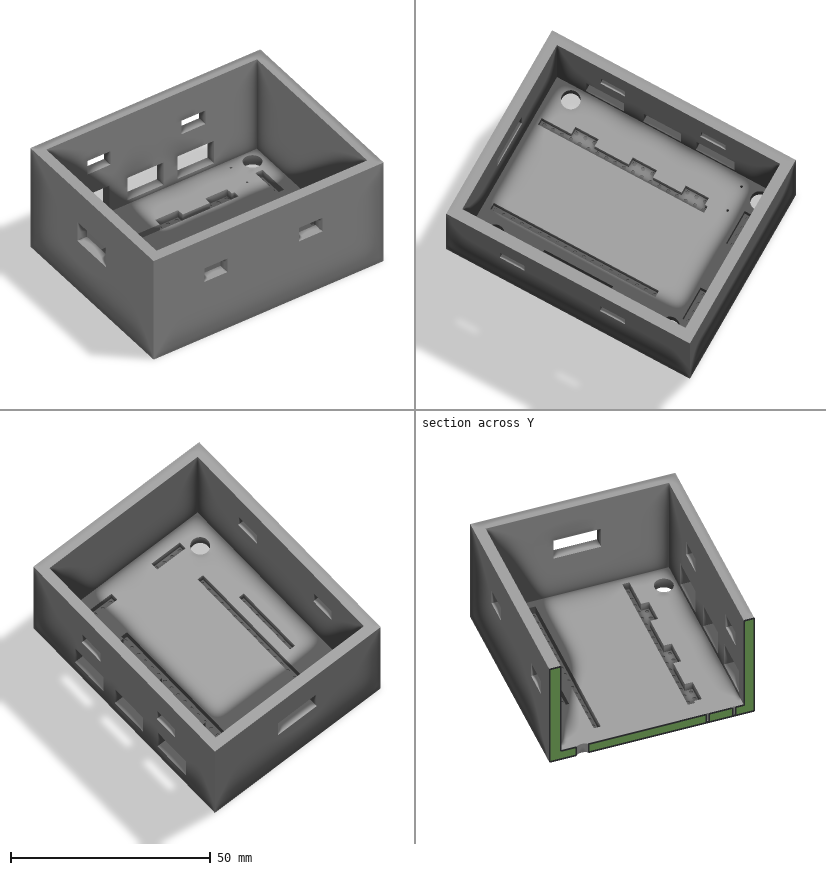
import cadquery as cq

length_x = 54.82
length_y = 69.9
height = 31.7
left_wall = 2.8
right_wall = 3.05
end_wall = 2.95
floor_thickness = 2.95

pin_pitch = 2.54
slot_depth = 2.3
pin_hole_depth = 2.6
header_pin_diameter = 1.02
side_pin_diameter = 1.04
lead_diameter = 0.66

mount_diameter = 5.0
mount_centers = [(6.4, 63.14), (46.0, 59.25), (6.32, 8.85), (46.22, 9.2)]

lead_y = 57.3
lead_x_positions = [5.38, 12.53]

back_slot_y = (61.1, 63.3)
back_pin_y = 62.43
back_pin_count = 4
back_headers = [
    ((10.6, 20.2), 11.53),
    ((33.4, 42.8), 34.35),
]

long_pin_count = 19
long_first_pin_y = 5.95
long_headers = [
    ((14.05, 15.95), (4.8, 52.4), 14.8),
    ((39.25, 41.1), (5.05, 52.4), 40.15),
]

right_slot_x = (43.8, 45.4)
right_slot_y = (22.05, 41.75)
right_pin_x = 44.52
right_first_pin_y = 23.0
right_pin_count = 8

left_slot_outer_x = 11.95
left_long_slot_x = long_headers[0][0]
left_slot_x = (left_slot_outer_x, left_long_slot_x[0])
left_pin_x = 12.75
left_pin_count = 3
left_headers = [
    ((13.3, 19.95), 14.12),
    ((29.75, 36.7), 30.65),
    ((44.95, 51.6), 45.9),
]

through_window_z = (18.0, 22.35)
through_window_y_ranges = [(15.4, 22.4), (44.1, 51.3)]
connector_window_z = (4.2, 11.4)
connector_window_y_ranges = [(11.2, 22.1), (27.65, 38.5), (42.8, 53.9)]
front_window_x = (20.9, 33.65)
front_window_z = (15.7, 21.8)


def block(x_range, y_range, z_range):
    """Box spanning the given coordinate ranges."""
    size = [end - start for start, end in (x_range, y_range, z_range)]
    corner = (x_range[0], y_range[0], z_range[0])
    return cq.Workplane("XY").box(*size, centered=False).translate(corner)


def floor_slot(x_range, y_range):
    """Header recess sunk from the floor's top face."""
    return block(x_range, y_range, (floor_thickness - slot_depth, floor_thickness))


def floor_holes(centers, diameter, depth):
    """Vertical round holes sunk from the floor's top face."""
    top = cq.Workplane("XY", origin=(0, 0, floor_thickness))
    return top.pushPoints(centers).circle(diameter / 2).extrude(-depth)


def pins_along_x(first_x, y, count):
    return [(first_x + i * pin_pitch, y) for i in range(count)]


def pins_along_y(x, first_y, count):
    return [(x, first_y + i * pin_pitch) for i in range(count)]


def tray():
    outer = block((0, length_x), (0, length_y), (0, height))
    inner_x = (left_wall, length_x - right_wall)
    inner_y = (end_wall, length_y - end_wall)
    cavity = block(inner_x, inner_y, (floor_thickness, height))
    return outer.cut(cavity)


def cut_wall_windows(body):
    for y_range in through_window_y_ranges:
        body = body.cut(block((0, length_x), y_range, through_window_z))
    for y_range in connector_window_y_ranges:
        body = body.cut(block((0, left_wall), y_range, connector_window_z))
    return body.cut(block(front_window_x, (0, end_wall), front_window_z))


def cut_header_slots(body):
    for x_range, _ in back_headers:
        body = body.cut(floor_slot(x_range, back_slot_y))
    for x_range, y_range, _ in long_headers:
        body = body.cut(floor_slot(x_range, y_range))
    for y_range, _ in left_headers:
        body = body.cut(floor_slot(left_slot_x, y_range))
    return body.cut(floor_slot(right_slot_x, right_slot_y))


def cut_pin_holes(body):
    header_pins = []
    for _, first_x in back_headers:
        header_pins += pins_along_x(first_x, back_pin_y, back_pin_count)
    for _, _, pin_x in long_headers:
        header_pins += pins_along_y(pin_x, long_first_pin_y, long_pin_count)
    for _, first_y in left_headers:
        header_pins += pins_along_y(left_pin_x, first_y, left_pin_count)
    right_pins = pins_along_y(right_pin_x, right_first_pin_y, right_pin_count)
    body = body.cut(floor_holes(header_pins, header_pin_diameter, pin_hole_depth))
    return body.cut(floor_holes(right_pins, side_pin_diameter, pin_hole_depth))


def cut_floor_holes(body):
    leads = [(x, lead_y) for x in lead_x_positions]
    body = body.cut(floor_holes(leads, lead_diameter, pin_hole_depth))
    return body.cut(floor_holes(mount_centers, mount_diameter, floor_thickness))


result = tray()
result = cut_wall_windows(result)
result = cut_header_slots(result)
result = cut_pin_holes(result)
result = cut_floor_holes(result)